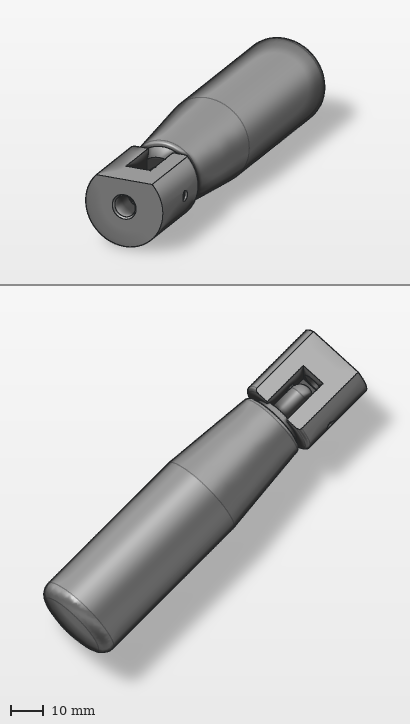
import cadquery as cq
import math

TOTAL_LENGTH = 118.0

FORK_RADIUS = 13.0
FORK_LENGTH = 26.0
FORK_FILLET = 1.1
FLAT_HEIGHT = 9.0
SLOT_WIDTH = 8.3
SLOT_START = 10.0
SLOT_FLOOR = -SLOT_WIDTH / 2
SCREW_HOLE_RADIUS = 3.4
SCREW_HOLE_MOUTH_RADIUS = 4.0

GRIP_DIAMETER = 28.0
GRIP_RADIUS = GRIP_DIAMETER / 2
TAPER_START = 59.5
GRIP_BOTTOM = 27.5
GRIP_BOTTOM_RADIUS = 11.1
GRIP_BOTTOM_FILLET = 1.4
CAP_SPHERE_RADIUS = 37.2
CAP_FILLET = 4.0
CONE_TOP_RADIUS = 9.7
CONE_HEIGHT = 2.6
STUD_RADIUS = 3.9
STUD_BALL_CENTRE = 15.9
PIVOT_RADIUS = 1.7
PIVOT_RECESS = 1.0

cone_bottom = GRIP_BOTTOM - CONE_HEIGHT
cone_bottom_radius = CONE_TOP_RADIUS - CONE_HEIGHT


def make_seating_cone():
    """Cone under the grip, which also shapes its seat in the fork."""
    return (
        cq.Workplane("XY")
        .moveTo(0, cone_bottom)
        .lineTo(cone_bottom_radius, cone_bottom)
        .lineTo(CONE_TOP_RADIUS, GRIP_BOTTOM)
        .lineTo(0, GRIP_BOTTOM)
        .close()
        .revolve(360, (0, 0, 0), (0, 1, 0))
    )


def make_grip():
    """Tapered grip with a domed end and rounded rims."""
    dome_centre = TOTAL_LENGTH - CAP_SPHERE_RADIUS
    rim = dome_centre + math.sqrt(CAP_SPHERE_RADIUS**2 - GRIP_RADIUS**2)
    mid_radius = GRIP_RADIUS / 2
    mid_dome = dome_centre + math.sqrt(CAP_SPHERE_RADIUS**2 - mid_radius**2)
    grip = (
        cq.Workplane("XY")
        .moveTo(0, GRIP_BOTTOM)
        .lineTo(GRIP_BOTTOM_RADIUS, GRIP_BOTTOM)
        .lineTo(GRIP_RADIUS, TAPER_START)
        .lineTo(GRIP_RADIUS, rim)
        .threePointArc((mid_radius, mid_dome), (0, TOTAL_LENGTH))
        .close()
        .revolve(360, (0, 0, 0), (0, 1, 0))
    )
    grip = grip.faces(">Y").edges("%CIRCLE").fillet(CAP_FILLET)
    return grip.faces("<Y").edges().fillet(GRIP_BOTTOM_FILLET)


def make_stud():
    """Round rod that runs from the cone to a hemispherical tip."""
    return (
        cq.Workplane("XY")
        .moveTo(0, STUD_BALL_CENTRE - STUD_RADIUS)
        .radiusArc((STUD_RADIUS, STUD_BALL_CENTRE), -STUD_RADIUS)
        .lineTo(STUD_RADIUS, cone_bottom)
        .lineTo(0, cone_bottom)
        .close()
        .revolve(360, (0, 0, 0), (0, 1, 0))
    )


def make_pivot(half_length):
    """Cylinder along X through the centre of the stud tip."""
    return (
        cq.Workplane("YZ")
        .center(STUD_BALL_CENTRE, 0)
        .circle(PIVOT_RADIUS)
        .extrude(half_length, both=True)
    )


def make_handle():
    """Grip, cone, stud and pivot as one solid; the pivot ends are recessed in the fork."""
    pivot = make_pivot(FORK_RADIUS - PIVOT_RECESS)
    return make_grip().union(make_seating_cone()).union(make_stud()).union(pivot)


def cut_slot(fork):
    """Open slot for the stud, from the flat down to the slot floor."""
    slot = cq.Workplane("XY").box(
        SLOT_WIDTH,
        FORK_LENGTH - SLOT_START,
        FLAT_HEIGHT - SLOT_FLOOR,
        centered=(True, False, False),
    )
    return fork.cut(slot.translate((0, SLOT_START, SLOT_FLOOR)))


def cut_screw_hole(fork):
    """Axial hole from the outer face into the slot, chamfered at its mouth."""
    mouth_chamfer = SCREW_HOLE_MOUTH_RADIUS - SCREW_HOLE_RADIUS
    hole = (
        cq.Workplane("XY")
        .lineTo(SCREW_HOLE_MOUTH_RADIUS, 0)
        .lineTo(SCREW_HOLE_RADIUS, mouth_chamfer)
        .lineTo(SCREW_HOLE_RADIUS, SLOT_START)
        .lineTo(0, SLOT_START)
        .close()
        .revolve(360, (0, 0, 0), (0, 1, 0))
    )
    return fork.cut(hole)


def cut_pivot_hole(fork):
    """Cross hole through both cheeks, filled by the pivot almost to its ends."""
    return fork.cut(make_pivot(FORK_RADIUS))


def make_fork():
    """Flat-topped cylinder with its slot, holes and conical seat."""
    fork = cq.Workplane("XZ").circle(FORK_RADIUS).extrude(-FORK_LENGTH)
    fork = fork.faces(">Y").fillet(FORK_FILLET)
    above_flat = cq.Workplane("XY").box(
        2 * FORK_RADIUS,
        FORK_LENGTH,
        FORK_RADIUS,
        centered=(True, False, False),
    )
    fork = fork.cut(above_flat.translate((0, 0, FLAT_HEIGHT)))
    fork = cut_slot(fork)
    fork = cut_screw_hole(fork)
    fork = cut_pivot_hole(fork)
    return fork.cut(make_seating_cone())


handle = make_handle()
fork = make_fork()
result = cq.Compound.makeCompound([handle.val(), fork.val()])